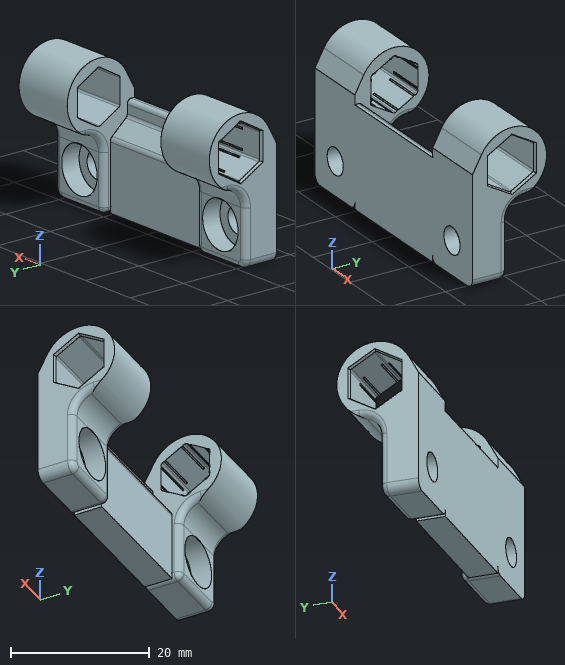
import cadquery as cq
import math

length = 42.9
lug_length = 10.9
lug_radius = 5.9
axis_y = 6.75
axis_z = 18.25
gap_length = length - 2 * lug_length

column_thickness = 5.9
corner_radius = 1.5
edge_radius = 1.05
curl_radius = 3.25
curl_y = column_thickness + curl_radius
curl_z = axis_z - math.sqrt((lug_radius + curl_radius) ** 2 - (curl_y - axis_y) ** 2)

web_top = 16.72
web_thickness = 4.55
wall_thickness = 1.37
shoulder_z = 14.15
shoulder_angle = 41.0
wall_radius = 0.77

hole_radius = 2.2
hole_inset = 5.57
shank_depth = 2.65
counterbore_radius = 4.0

hex_flats = 7.98
hex_corner_radius = 0.4
mouth_inset = 0.17
mouth_depth = 0.5

rib_offset = 0.7
rib_width = 0.25
rib_height = 0.1
rib_start = 4.37


def curl_point(angle):
    """Point on the curl, at an angle in radians up from the column back."""
    return (curl_y - curl_radius * math.cos(angle), curl_z + curl_radius * math.sin(angle))


def column_block(curl_angle, upper_corners):
    """Block behind the front face, with the curl on its back and the given corners above it."""
    outline = (
        cq.Workplane("YZ")
        .moveTo(0, 0)
        .lineTo(column_thickness, 0)
        .lineTo(column_thickness, curl_z)
        .threePointArc(curl_point(curl_angle / 2), curl_point(curl_angle))
    )
    for y, z in upper_corners:
        outline = outline.lineTo(y, z)
    return outline.close().extrude(lug_length)


def rounded_limit():
    """Block that stops level under the barrel, with rounded back edges, to trim the left lug."""
    far_y = axis_y + 2 * lug_radius
    far_z = axis_z + 2 * lug_radius
    upper_corners = [(far_y, curl_z + curl_radius), (far_y, far_z), (0, far_z)]
    block = column_block(math.pi / 2, upper_corners)
    block = block.edges("|Y and <X and <Z").fillet(corner_radius)
    for x in (lug_length, 0):
        back_edge = cq.selectors.NearestToPointSelector((x, column_thickness, curl_z / 2))
        block = block.edges(back_edge).fillet(edge_radius)
    return block


def left_lug():
    """Column and barrel, joined in front by a flat tangent to the barrel."""
    tangent_angle = math.acos(lug_radius / axis_y)
    tangent_y = axis_y - lug_radius * math.cos(tangent_angle)
    tangent_z = axis_z + lug_radius * math.sin(tangent_angle)
    curl_angle = math.acos((curl_y - axis_y) / (curl_radius + lug_radius))
    upper_corners = [(axis_y, axis_z), (tangent_y, tangent_z), (0, axis_z)]
    column = column_block(curl_angle, upper_corners)
    barrel = cq.Workplane("YZ").center(axis_y, axis_z).circle(lug_radius).extrude(lug_length)
    return column.union(barrel).intersect(rounded_limit())


def web():
    """Plate between the lugs, thin at the top and thicker below the sloped shoulder."""
    shoulder_drop = (web_thickness - wall_thickness) * math.tan(math.radians(shoulder_angle))
    back_top_z = shoulder_z - shoulder_drop
    plate = (
        cq.Workplane("YZ", origin=(lug_length, 0, 0))
        .moveTo(0, 0)
        .lineTo(web_thickness, 0)
        .lineTo(web_thickness, back_top_z)
        .lineTo(wall_thickness, shoulder_z)
        .lineTo(wall_thickness, web_top)
        .lineTo(0, web_top)
        .close()
        .extrude(gap_length)
    )
    roundings = [
        (wall_thickness, web_top, wall_radius),
        (wall_thickness, shoulder_z, wall_radius),
        (web_thickness, back_top_z, edge_radius),
    ]
    for y, z, radius in roundings:
        edge = cq.selectors.NearestToPointSelector((length / 2, y, z))
        plate = plate.edges(edge).fillet(radius)
    return plate


def hexagon(flats, x):
    """Hexagon around the hinge axis, with two corners pointing up and down."""
    plane = cq.Workplane("YZ", origin=(x, axis_y, axis_z)).transformed(rotate=(0, 0, 90))
    return plane.polygon(6, flats / math.cos(math.pi / 6))


def left_bore():
    """Hexagonal bore through the left lug, widened at its outer end."""
    mouth_taper = math.degrees(math.atan(mouth_inset / mouth_depth))
    mouth = hexagon(hex_flats + 2 * mouth_inset, 0).extrude(mouth_depth, taper=mouth_taper)
    bore = hexagon(hex_flats, 0).extrude(lug_length)
    return bore.edges("|X").fillet(hex_corner_radius).union(mouth)


def crush_ribs():
    """Low ribs along the flats of the left bore, sunk into the wall to join it."""
    half_side = hex_flats / 2 * math.tan(math.pi / 6)
    rib_shift = half_side - rib_offset
    rib_length = lug_length - rib_start
    pair = (
        cq.Workplane("YZ", origin=(rib_start, 0, 0))
        .pushPoints([(hex_flats / 2, -rib_shift), (hex_flats / 2, rib_shift)])
        .rect(2 * rib_height, rib_width)
        .extrude(rib_length)
    )
    ribs = cq.Workplane("XY")
    for side in range(6):
        ribs = ribs.add(pair.rotate((0, 0, 0), (1, 0, 0), 60 * side))
    return ribs.combine().translate((0, axis_y, axis_z))


def screw_hole():
    """Shank hole from the front of the left column, counterbored from the back."""
    front = cq.Workplane("XZ").center(hole_inset, hole_inset)
    shank = front.circle(hole_radius).extrude(-column_thickness)
    counterbore = (
        front.workplane(offset=-shank_depth)
        .circle(counterbore_radius)
        .extrude(shank_depth - column_thickness)
    )
    return shank.union(counterbore)


left_side = left_lug().cut(left_bore()).cut(screw_hole())
right_side = left_side.mirror("YZ").translate((length, 0, 0))
result = left_side.union(crush_ribs()).union(web()).union(right_side)